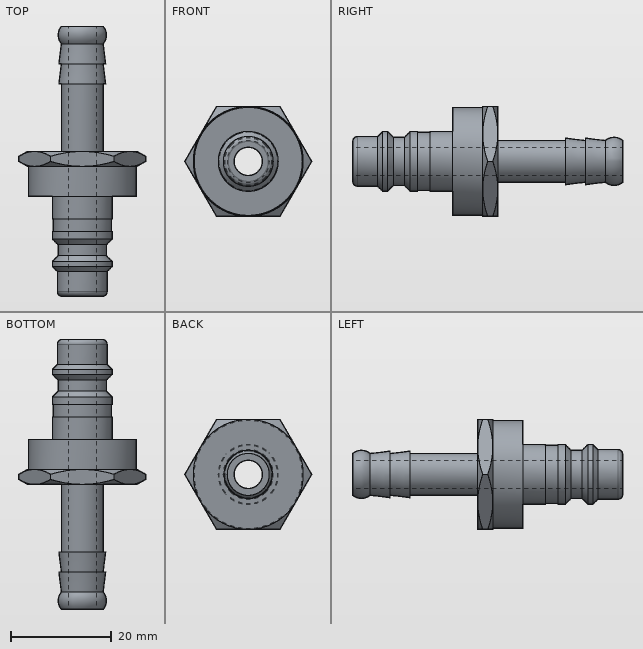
import cadquery as cq
import math


BORE_DIAMETER = 5.6

COLLAR_DIAMETER = 21.6
COLLAR_LENGTH = 6.0
HEX_SIDES = 6
HEX_ACROSS_FLATS = 22.0
HEX_THICKNESS = 3.0
HEX_CHAMFER_ANGLE = 30.0

STEM_LENGTH = 25.0
STEM_DIAMETER = 8.4
BARB_DIAMETER = 9.4
BARB_LENGTH = 4.0
BARB_COUNT = 2
BEAD_DIAMETER = 9.7
BEAD_LENGTH = 3.5

PLUG_LENGTH = 20.0
PLUG_DIAMETER = 12.0
RELIEF_DIAMETER = 11.7
RELIEF_START = 4.5
RELIEF_LENGTH = 2.5
LOCK_LAND_LENGTH = 1.5
NECK_DIAMETER = 9.7
NECK_LENGTH = 2.2
RING_LAND_LENGTH = 1.0
TIP_DIAMETER = 10.0
TIP_FILLET = 1.0

hex_start = COLLAR_LENGTH
hex_end = hex_start + HEX_THICKNESS
stem_end = hex_end + STEM_LENGTH


def turn(profile):
    """Revolve a closed half-profile a full turn about the Y axis."""
    return profile.revolve(360, (0, 0, 0), (0, 1, 0))


def make_hexagon():
    """Hexagon with corners on the X axis, chamfered conically on both faces."""
    inscribed_radius = HEX_ACROSS_FLATS / 2
    corner_radius = inscribed_radius / math.cos(math.pi / HEX_SIDES)
    chamfer_depth = (corner_radius - inscribed_radius) * math.tan(math.radians(HEX_CHAMFER_ANGLE))

    prism = (
        cq.Workplane("XZ", origin=(0, hex_start, 0))
        .polygon(HEX_SIDES, 2 * corner_radius)
        .extrude(-HEX_THICKNESS)
    )
    envelope_profile = (
        cq.Workplane("XY")
        .moveTo(0, hex_start)
        .lineTo(inscribed_radius, hex_start)
        .lineTo(corner_radius, hex_start + chamfer_depth)
        .lineTo(corner_radius, hex_end - chamfer_depth)
        .lineTo(inscribed_radius, hex_end)
        .lineTo(0, hex_end)
        .close()
    )
    return prism.intersect(turn(envelope_profile))


def make_collar():
    return cq.Workplane("XZ").circle(COLLAR_DIAMETER / 2).extrude(-COLLAR_LENGTH)


def make_stem():
    """Plain stem, tapered barbs and a rounded end bead."""
    stem_radius = STEM_DIAMETER / 2
    bead_start = stem_end - BEAD_LENGTH
    barbs_start = bead_start - BARB_COUNT * BARB_LENGTH

    profile = (
        cq.Workplane("XY")
        .moveTo(0, hex_end)
        .lineTo(stem_radius, hex_end)
        .lineTo(stem_radius, barbs_start)
    )
    for index in range(BARB_COUNT):
        barb_start = barbs_start + index * BARB_LENGTH
        profile = (
            profile.lineTo(BARB_DIAMETER / 2, barb_start)
            .lineTo(stem_radius, barb_start + BARB_LENGTH)
        )
    profile = (
        profile.threePointArc((BEAD_DIAMETER / 2, bead_start + BEAD_LENGTH / 2), (stem_radius, stem_end))
        .lineTo(0, stem_end)
        .close()
    )
    return turn(profile)


def make_plug():
    """Plug with a shallow relief, a locking neck, a ring and a rounded tip."""
    plug_radius = PLUG_DIAMETER / 2
    relief_radius = RELIEF_DIAMETER / 2
    neck_radius = NECK_DIAMETER / 2
    tip_radius = TIP_DIAMETER / 2

    relief_end = RELIEF_START + RELIEF_LENGTH
    lock_land_end = relief_end + LOCK_LAND_LENGTH
    neck_start = lock_land_end + plug_radius - neck_radius
    neck_end = neck_start + NECK_LENGTH
    ring_start = neck_end + plug_radius - neck_radius
    ring_end = ring_start + RING_LAND_LENGTH
    tip_start = ring_end + plug_radius - tip_radius

    profile = (
        cq.Workplane("XY")
        .lineTo(plug_radius, 0)
        .lineTo(plug_radius, -RELIEF_START)
        .lineTo(relief_radius, -RELIEF_START)
        .lineTo(relief_radius, -relief_end)
        .lineTo(plug_radius, -relief_end)
        .lineTo(plug_radius, -lock_land_end)
        .lineTo(neck_radius, -neck_start)
        .lineTo(neck_radius, -neck_end)
        .lineTo(plug_radius, -ring_start)
        .lineTo(plug_radius, -ring_end)
        .lineTo(tip_radius, -tip_start)
        .lineTo(tip_radius, -PLUG_LENGTH)
        .lineTo(0, -PLUG_LENGTH)
        .close()
    )
    return turn(profile).faces("<Y").edges().fillet(TIP_FILLET)


def make_bore():
    return (
        cq.Workplane("XZ", origin=(0, stem_end, 0))
        .circle(BORE_DIAMETER / 2)
        .extrude(stem_end + PLUG_LENGTH)
    )


body = make_collar().union(make_hexagon()).union(make_stem()).union(make_plug())
result = body.cut(make_bore())